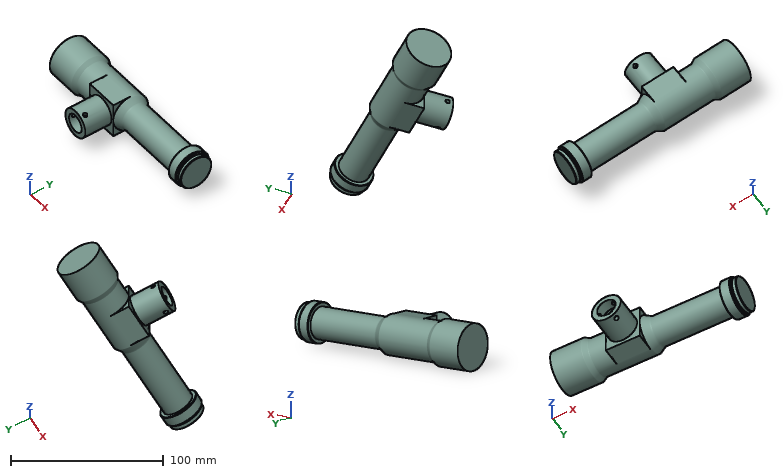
import cadquery as cq

total_length = 139.4
head_radius = 16.0
neck_radius = 14.0
tube_radius = 11.0
head_cone_start = 23.5
head_cone_end = 27.3
tube_cone_start = 67.9
tube_cone_end = 73.2
cone_edge_round = 1.0
tube_root_round = 2.0

collar_start = 127.4
collar_end = 135.2
collar_chamfer = 0.4
end_ring_radius = 12.7
end_ring_start = 136.2
end_ring_chamfer = 0.4
groove_radius = 12.0

block_start = 41.3
block_end = 67.0
spout_x = 54.1
spout_radius = tube_radius
total_width = 51.5
spout_end_y = head_radius - total_width
bore_diameter = 14.0
bore_depth = 8.0
inner_bore_diameter = 8.2
inner_bore_depth = 11.2

radial_hole_diameter = 3.0
radial_hole_inset = 4.0
radial_hole_count = 3


def round_edge_at(body, x, radius):
    """Round the circular edge that lies in the plane at x."""
    margin = 0.07
    edge_zone = cq.selectors.BoxSelector(
        (x - margin, -head_radius, -head_radius), (x + margin, head_radius, head_radius)
    )
    return body.edges("%CIRCLE").edges(edge_zone).fillet(radius)


def make_body():
    profile = [
        (0, 0),
        (0, head_radius),
        (head_cone_start, head_radius),
        (head_cone_end, neck_radius),
        (tube_cone_start, neck_radius),
        (tube_cone_end, tube_radius),
        (collar_start, tube_radius),
        (collar_start, neck_radius - collar_chamfer),
        (collar_start + collar_chamfer, neck_radius),
        (collar_end - collar_chamfer, neck_radius),
        (collar_end, neck_radius - collar_chamfer),
        (collar_end, groove_radius),
        (end_ring_start, groove_radius),
        (end_ring_start, end_ring_radius),
        (total_length - end_ring_chamfer, end_ring_radius),
        (total_length, end_ring_radius - end_ring_chamfer),
        (total_length, 0),
    ]
    body = cq.Workplane("XY").polyline(profile).close().revolve(360, (0, 0, 0), (1, 0, 0))
    for cone_edge_x in (head_cone_start, head_cone_end, tube_cone_start):
        body = round_edge_at(body, cone_edge_x, cone_edge_round)
    return round_edge_at(body, tube_cone_end, tube_root_round)


def make_block():
    """Square half of the neck, from the axis out to the flat spout face."""
    length = block_end - block_start
    return cq.Workplane("XY").box(length, neck_radius, 2 * neck_radius).translate(
        (block_start + length / 2, -neck_radius / 2, 0)
    )


def spout_cylinder(diameter, depth):
    """Cylinder on the spout axis, reaching inward from the spout mouth."""
    mouth = cq.Workplane("XZ", origin=(spout_x, spout_end_y, 0))
    return mouth.circle(diameter / 2).extrude(-depth)


def make_radial_holes():
    """Evenly spaced holes through the spout wall, the first facing -X."""
    hole_y = spout_end_y + radial_hole_inset
    drill = cq.Workplane("YZ", origin=(spout_x, hole_y, 0)).circle(radial_hole_diameter / 2)
    drill = drill.extrude(-2 * spout_radius)
    holes = cq.Workplane("XY")
    for index in range(radial_hole_count):
        angle = index * 360 / radial_hole_count
        holes = holes.add(drill.rotate((spout_x, 0, 0), (spout_x, 1, 0), angle))
    return holes.combine()


spout = spout_cylinder(2 * spout_radius, -spout_end_y)
result = make_body().union(make_block()).union(spout)
result = result.cut(spout_cylinder(bore_diameter, bore_depth))
result = result.cut(spout_cylinder(inner_bore_diameter, inner_bore_depth))
result = result.cut(make_radial_holes())